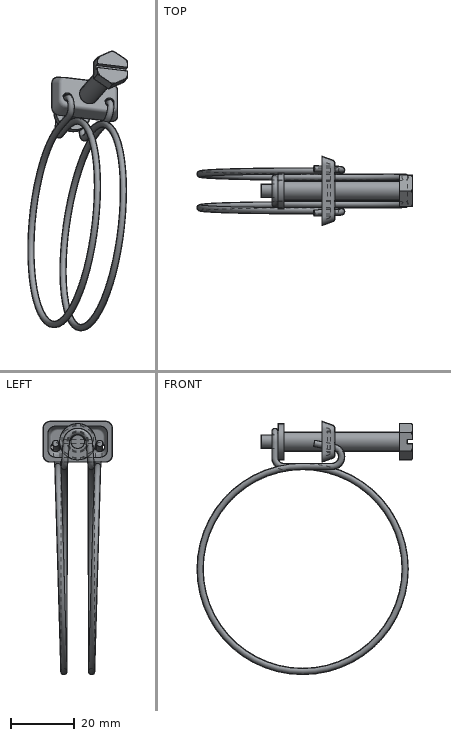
import cadquery as cq
import math

WIRE_RADIUS = 1.0
RING_RADIUS = 32.5

RING_INNER_Y = 4.25
RING_BOTTOM_Y = 4.4
RING_OUTER_Y = 6.3

AXIS_Z = 40.35
TIP_START_X = -13.15
TIP_RADIUS = 2.15
COLLAR_RADIUS = 5.75
COLLAR_START_X = -7.8
COLLAR_THICKNESS = 1.9
SHANK_RADIUS = 3.05
HEAD_END_X = 34.84
HEAD_HEIGHT = 4.2
HEAD_ACROSS_FLATS = 10.0
HEAD_CHAMFER = 0.4
SLOT_WIDTH = 1.3
SLOT_DEPTH = 1.65

EYE_X = COLLAR_START_X - WIRE_RADIUS
EYE_RADIUS = 3.65
EYE_Z = 39.95
EYE_BEND_RADIUS = 2.8

HOOK_START_X = 9.25
HOOK_RADIUS = 3.1
HOOK_TURN = math.radians(169)
HOOK_END_X = 3.65
HOOK_END_Y = 7.0

PLATE_START_X = 6.1
PLATE_THICKNESS = 4.15
PLATE_WIDTH = 22.0
PLATE_HEIGHT = 13.0
PLATE_CORNER_RADIUS = 2.5
PLATE_TAPER = 20.0
PLATE_EDGE_RADIUS = 1.2
POCKET_DEPTH = 2.65
POCKET_FLOOR_RADIUS = 0.6
RIM_WIDTH = 1.55
POCKET_CORNER_RADIUS = 2.6
HOOK_HOLE_RADIUS = 1.45
HOOK_HOLE_Z = 38.65
HOOK_HOLE_Y = 7.0
SCREW_BOSS_RADIUS = 3.4
SCREW_BOSS_HEIGHT = 0.9


def yz_plane(x):
    """Plane across the screw axis: local x is Y, local y is Z."""
    return cq.Workplane("YZ", origin=(x, 0, AXIS_Z))


def rod(start_x, end_x, radius):
    return yz_plane(start_x).circle(radius).extrude(end_x - start_x)


def make_screw():
    """Slotted hexagon head screw with a collar near its tip."""
    head_start_x = HEAD_END_X - HEAD_HEIGHT
    corner_radius = HEAD_ACROSS_FLATS / math.sqrt(3)

    head = (
        yz_plane(head_start_x)
        .transformed(rotate=(0, 0, 90))
        .polygon(6, 2 * corner_radius)
        .extrude(HEAD_HEIGHT)
    )
    chamfered_blank = rod(head_start_x, HEAD_END_X, corner_radius).faces(">X").chamfer(HEAD_CHAMFER)
    head = head.intersect(chamfered_blank)
    slot = cq.Workplane("XY", origin=(HEAD_END_X, 0, AXIS_Z)).box(
        2 * SLOT_DEPTH, 2 * corner_radius, SLOT_WIDTH
    )
    tip = rod(TIP_START_X, COLLAR_START_X, TIP_RADIUS)
    collar = rod(COLLAR_START_X, COLLAR_START_X + COLLAR_THICKNESS, COLLAR_RADIUS)
    shank = rod(COLLAR_START_X, head_start_x, SHANK_RADIUS)

    return head.cut(slot).union(shank).union(collar).union(tip)


def make_plate():
    """Tapered plate with a pocket on the tip side and holes for the screw and both hooks."""
    plate = (
        yz_plane(PLATE_START_X)
        .rect(PLATE_WIDTH, PLATE_HEIGHT)
        .extrude(PLATE_THICKNESS, taper=PLATE_TAPER)
        .edges("not(|Y or |Z)")
        .fillet(PLATE_CORNER_RADIUS)
        .faces(">X").edges()
        .fillet(PLATE_EDGE_RADIUS)
    )
    pocket = (
        yz_plane(PLATE_START_X)
        .rect(PLATE_WIDTH - 2 * RIM_WIDTH, PLATE_HEIGHT - 2 * RIM_WIDTH)
        .extrude(POCKET_DEPTH, taper=PLATE_TAPER)
        .edges("not(|Y or |Z)")
        .fillet(POCKET_CORNER_RADIUS)
        .faces(">X").edges()
        .fillet(POCKET_FLOOR_RADIUS)
    )
    hook_holes = (
        yz_plane(PLATE_START_X)
        .pushPoints([(side * HOOK_HOLE_Y, HOOK_HOLE_Z - AXIS_Z) for side in (-1, 1)])
        .circle(HOOK_HOLE_RADIUS)
        .extrude(PLATE_THICKNESS)
    )
    screw_hole = rod(PLATE_START_X, PLATE_START_X + PLATE_THICKNESS, SHANK_RADIUS)
    floor_x = PLATE_START_X + POCKET_DEPTH
    screw_boss = rod(floor_x - SCREW_BOSS_HEIGHT, floor_x, SCREW_BOSS_RADIUS)

    return plate.cut(pocket).union(screw_boss).cut(hook_holes).cut(screw_hole)


def line(start, end):
    return cq.Edge.makeLine(start, end)


def arc(start, middle, end):
    return cq.Edge.makeThreePointArc(start, middle, end)


def leaning_point(side, base_y, lean, x, rise):
    """Point on a plane through the ring top that leans outward; rise is measured up the plane."""
    return cq.Vector(
        x,
        side * (base_y + rise * math.sin(lean)),
        RING_RADIUS + rise * math.cos(lean),
    )


def leg_edges(side):
    """Leg from the eye down to the ring top, with its bend."""
    eye_height = EYE_Z - RING_RADIUS
    centre_distance = math.hypot(RING_INNER_Y, eye_height)
    leg_length = math.sqrt(centre_distance**2 - EYE_RADIUS**2)
    lean = math.asin(EYE_RADIUS / centre_distance) - math.atan2(RING_INNER_Y, eye_height)
    bend_centre_x = EYE_X + EYE_BEND_RADIUS

    def leg_point(x, rise):
        return leaning_point(side, RING_INNER_Y, lean, x, rise)

    def bend_point(angle):
        return leg_point(
            bend_centre_x - EYE_BEND_RADIUS * math.cos(angle),
            EYE_BEND_RADIUS * (1 - math.sin(angle)),
        )

    eye_end = leg_point(EYE_X, leg_length)
    bend_start = bend_point(0)
    bend_end = bend_point(math.pi / 2)
    ring_start = leg_point(0, 0)
    return [
        line(eye_end, bend_start),
        arc(bend_start, bend_point(math.pi / 4), bend_end),
        line(bend_end, ring_start),
    ]


def ring_edges(side):
    """One turn in two tilted halves: down to the bottom, then back up beside its start."""
    start = cq.Vector(0, side * RING_INNER_Y, RING_RADIUS)
    bottom = cq.Vector(0, side * RING_BOTTOM_Y, -RING_RADIUS)
    end = cq.Vector(0, side * RING_OUTER_Y, RING_RADIUS)

    def half_turn(first, last, bulge):
        radius = (last - first).Length / 2
        middle = (first + last) / 2 + cq.Vector(bulge * radius, 0, 0)
        return arc(first, middle, last)

    return [half_turn(start, bottom, 1), half_turn(bottom, end, -1)]


def hook_edges(side):
    """Straight run from the ring top, the hook bend and the end that lies in the plate."""
    straight_run = HOOK_START_X + HOOK_RADIUS * math.sin(HOOK_TURN) - HOOK_END_X
    straight_rise = straight_run * math.tan(math.pi - HOOK_TURN)
    end_rise = HOOK_RADIUS * (1 - math.cos(HOOK_TURN)) + straight_rise
    lean = math.asin((HOOK_END_Y - RING_OUTER_Y) / end_rise)

    def hook_point(x, rise):
        return leaning_point(side, RING_OUTER_Y, lean, x, rise)

    def bend_point(turn):
        return hook_point(
            HOOK_START_X + HOOK_RADIUS * math.sin(turn),
            HOOK_RADIUS * (1 - math.cos(turn)),
        )

    bend_start = bend_point(0)
    bend_end = bend_point(HOOK_TURN)
    return [
        line(hook_point(0, 0), bend_start),
        arc(bend_start, bend_point(HOOK_TURN / 2), bend_end),
        line(bend_end, hook_point(HOOK_END_X, end_rise)),
    ]


def make_wire():
    """One wire: hook, turn and leg on one side, the eye, then the same on the other side."""
    front, back = [leg_edges(side) + ring_edges(side) + hook_edges(side) for side in (-1, 1)]
    eye_top = cq.Vector(EYE_X, 0, EYE_Z + EYE_RADIUS)
    eye = arc(front[0].startPoint(), eye_top, back[0].startPoint())
    path = cq.Wire.assembleEdges(front[::-1] + [eye] + back)
    end_plane = cq.Plane(front[-1].endPoint(), normal=front[-1].tangentAt(1))
    return cq.Workplane(end_plane).circle(WIRE_RADIUS).sweep(path)


screw = make_screw()
plate = make_plate()
wire = make_wire()
result = cq.Compound.makeCompound([screw.val(), plate.val(), wire.val()])